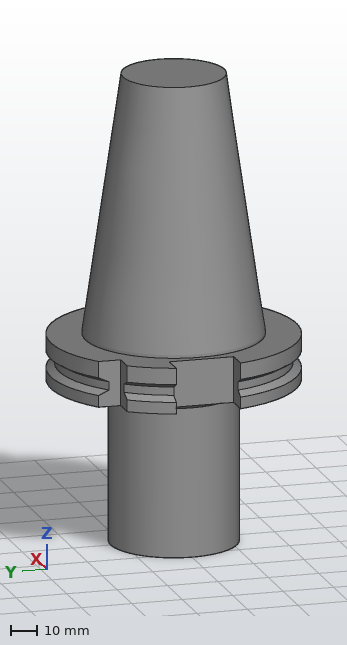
import cadquery as cq
import math

total_height = 184.8
shank_radius = 50.0 / 2
flange_radius = 97.4 / 2
flange_bottom = 63.7
flange_top = 81.8
collar_height = 4.6

taper_base_radius = 69.8 / 2
taper_base_z = 83.0
taper_ratio = 7 / 24
taper_top_radius = taper_base_radius - (total_height - taper_base_z) * taper_ratio / 2

groove_center_z = 71.9
groove_width = 7.0
groove_floor_radius = 45.5
groove_wall_angle = 30.0

slot_width = 25.5
left_slot_floor = 37.7
right_slot_floor = 35.3
notch_offset = 29.7


def make_body():
    """Revolve the shank, collar, grooved flange and taper in one profile."""
    half_mouth = groove_width / 2
    groove_depth = flange_radius - groove_floor_radius
    half_floor = half_mouth - groove_depth * math.tan(math.radians(groove_wall_angle))
    profile = [
        (0, 0),
        (shank_radius, 0),
        (shank_radius, flange_bottom - collar_height),
        (shank_radius + collar_height, flange_bottom),
        (flange_radius, flange_bottom),
        (flange_radius, groove_center_z - half_mouth),
        (groove_floor_radius, groove_center_z - half_floor),
        (groove_floor_radius, groove_center_z + half_floor),
        (flange_radius, groove_center_z + half_mouth),
        (flange_radius, flange_top),
        (taper_base_radius, flange_top),
        (taper_base_radius, taper_base_z),
        (taper_top_radius, total_height),
        (0, total_height),
    ]
    return cq.Workplane("XZ").polyline(profile).close().revolve(360, (0, 0), (0, 1))


def flange_cutter(x_start, x_end, y_start, y_end):
    """Box through the full flange thickness between the given X and Y limits."""
    return (
        cq.Workplane("XY", origin=(0, 0, flange_bottom))
        .moveTo(x_start, y_start)
        .lineTo(x_end, y_start)
        .lineTo(x_end, y_end)
        .lineTo(x_start, y_end)
        .close()
        .extrude(flange_top - flange_bottom)
    )


half_slot = slot_width / 2
left_slot = flange_cutter(-flange_radius, -left_slot_floor, -half_slot, half_slot)
right_slot = flange_cutter(right_slot_floor, flange_radius, -half_slot, half_slot)
notch = flange_cutter(-flange_radius, -notch_offset, notch_offset, flange_radius)

result = make_body().cut(left_slot).cut(right_slot).cut(notch)